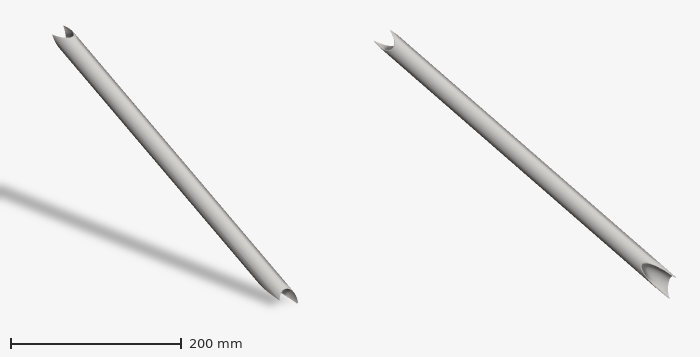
import cadquery as cq

outer_diameter = 25.0
wall = 0.5
upper_node = cq.Vector(-199.0, 28.0, 110.0)
lower_node = cq.Vector(196.5, -28.5, -106.5)

upper_cuts = [
    (cq.Vector(-0.5, 6.3, 0.5), cq.Vector(7.4, -0.7, 0)),
    (cq.Vector(-1.0, 6.3, 0.5), cq.Vector(3.2, -0.8, -5.4)),
]
lower_cuts = [
    (cq.Vector(2.3, 5.8, -2.0), cq.Vector(-1.0, 0.6, 4.2)),
    (cq.Vector(2.1, 5.8, -2.4), cq.Vector(-8.1, 0.9, 1.9)),
]
overall_length = 401.5

overrun = 3 * outer_diameter
cutter_size = 4 * overrun

axis = (lower_node - upper_node).normalized()


def make_tube():
    """Straight tube running past both end points."""
    start = upper_node - axis * overrun
    length = (lower_node - upper_node).Length + 2 * overrun
    profile = cq.Workplane(cq.Plane(origin=start, normal=axis)).circle(outer_diameter / 2)
    return profile.circle(outer_diameter / 2 - wall).extrude(length)


def end_cutter(node, across, slope, outward):
    """Block lying on the outward side of the plane spanned by across and slope."""
    normal = across.cross(slope)
    if normal.dot(outward) < 0:
        normal = -normal
    plane = cq.Plane(origin=node, xDir=across, normal=normal)
    return cq.Workplane(plane).rect(cutter_size, cutter_size).extrude(cutter_size)


result = make_tube()
for across, slope in upper_cuts:
    result = result.cut(end_cutter(upper_node, across, slope, -axis))
for across, slope in lower_cuts:
    result = result.cut(end_cutter(lower_node, across, slope, axis))

result = result.intersect(cq.Workplane("XY").box(overall_length, overall_length, overall_length))